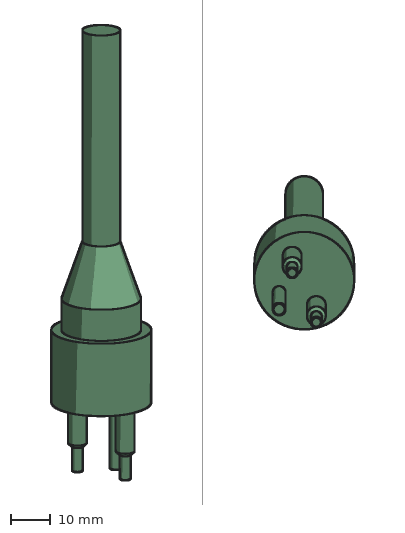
import cadquery as cq

total_height = 116.0
pin_length = 19.0
base_height = 18.9
collar_height = 8.1
cone_height = 15.0

base_diameter = 25.0
collar_diameter = 20.0
cable_diameter = 9.5

stepped_pin_spacing = 14.0
stepped_pin_diameter = 4.8
stepped_pin_tip_diameter = 2.8
stepped_pin_tip_length = 6.4
shoulder_height = (stepped_pin_diameter - stepped_pin_tip_diameter) / 2
plain_pin_diameter = 3.2
plain_pin_offset = 7.0
tip_chamfer = 0.2

base_top = pin_length + base_height
collar_top = base_top + collar_height
cone_top = collar_top + cone_height


def revolve_profile(points):
    """Revolve an (r, z) outline about the Z axis."""
    return cq.Workplane("XZ").polyline(points).close().revolve(360, (0, 0), (0, 1))


def make_body():
    """Base, collar, strain-relief cone and cable as one turned shape."""
    return revolve_profile([
        (0, pin_length),
        (base_diameter / 2, pin_length),
        (base_diameter / 2, base_top),
        (collar_diameter / 2, base_top),
        (collar_diameter / 2, collar_top),
        (cable_diameter / 2, cone_top),
        (cable_diameter / 2, total_height),
        (0, total_height),
    ])


def make_stepped_pin():
    """Thick pin with a 45-degree conical shoulder above a thinner chamfered tip."""
    pin_radius = stepped_pin_diameter / 2
    tip_radius = stepped_pin_tip_diameter / 2
    return revolve_profile([
        (0, 0),
        (tip_radius - tip_chamfer, 0),
        (tip_radius, tip_chamfer),
        (tip_radius, stepped_pin_tip_length),
        (pin_radius, stepped_pin_tip_length + shoulder_height),
        (pin_radius, pin_length),
        (0, pin_length),
    ])


def make_plain_pin():
    """Straight pin with a chamfered tip."""
    pin = cq.Workplane("XY").circle(plain_pin_diameter / 2).extrude(pin_length)
    return pin.faces("<Z").chamfer(tip_chamfer)


result = make_body()
for side in (-1, 1):
    result = result.union(make_stepped_pin().translate((side * stepped_pin_spacing / 2, 0, 0)))
result = result.union(make_plain_pin().translate((0, plain_pin_offset, 0)))